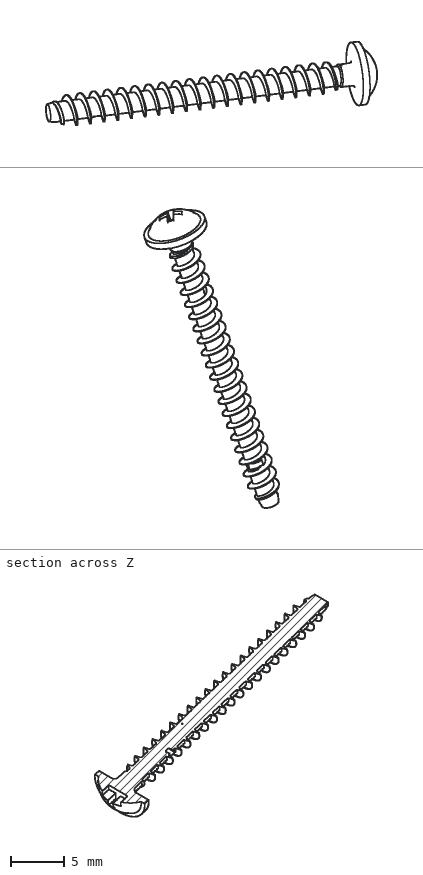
import cadquery as cq
import math


flange_radius = 3.0
flange_height = 0.65
dome_base_radius = 2.58
head_height = 2.09

recess_wing_length = 2.2
recess_wing_width = 0.6
recess_depth = 1.2

screw_length = 30.0
shank_radius = 1.08
shank_end = 1.45
neck_fillet = 0.45
core_radius = 0.94
core_start = 1.6
tip_radius = 0.84

pitch = 1.34
thread_radius = 1.5
crest_width = 0.07
flank_angle = 15.0
thread_start = 0.835
thread_turns = 21.5
thread_lengths = 4
root_radius = 0.75
run_in_start = 1.3
run_in_end = 2.8
run_out_start = 28.0
run_out_end = 29.5
trim_radius = thread_radius + 0.3

upper_notch_start = 5.8
upper_notch_end = 6.8
upper_notch_floor = 0.49
upper_notch_angle = 160.0
lower_notch_start = 25.05
lower_notch_end = 25.73
lower_notch_floor = 0.65
lower_notch_angle = 270.0


def make_head():
    """Flange with a spherical dome on it."""
    dome_height = head_height - flange_height
    sphere_radius = (dome_base_radius**2 + dome_height**2) / (2 * dome_height)
    sphere_center = -head_height + sphere_radius
    half_angle = math.asin(dome_base_radius / sphere_radius) / 2
    arc_middle = (
        sphere_radius * math.sin(half_angle),
        sphere_center - sphere_radius * math.cos(half_angle),
    )
    return (
        cq.Workplane("XZ")
        .lineTo(flange_radius, 0)
        .lineTo(flange_radius, -flange_height)
        .lineTo(dome_base_radius, -flange_height)
        .threePointArc(arc_middle, (0, -head_height))
        .close()
        .revolve(360, (0, 0), (0, 1))
    )


def make_recess():
    """Cross-shaped drive recess sunk from the top of the head."""
    wing = cq.Workplane("XY").workplane(offset=-head_height)
    along_x = wing.rect(recess_wing_length, recess_wing_width).extrude(recess_depth)
    along_y = wing.rect(recess_wing_width, recess_wing_length).extrude(recess_depth)
    return along_x.union(along_y)


def make_core():
    """Shank filleted into the head, and the straight thread core."""
    fillet_drop = neck_fillet * (1 - math.sqrt(0.5))
    return (
        cq.Workplane("XZ")
        .lineTo(shank_radius + neck_fillet, 0)
        .threePointArc((shank_radius + fillet_drop, fillet_drop), (shank_radius, neck_fillet))
        .lineTo(shank_radius, shank_end)
        .lineTo(core_radius, core_start)
        .lineTo(core_radius, screw_length)
        .lineTo(0, screw_length)
        .close()
        .revolve(360, (0, 0), (0, 1))
    )


def make_ridge(start_turn, turns):
    """One length of the right-hand helical ridge, beginning start_turn turns into the thread."""
    half_crest = crest_width / 2
    half_root = half_crest + (thread_radius - root_radius) * math.tan(math.radians(flank_angle))
    helix = cq.Wire.makeHelix(pitch, pitch * turns, root_radius)
    ridge = (
        cq.Workplane("XZ")
        .moveTo(root_radius, -half_root)
        .lineTo(thread_radius, -half_crest)
        .lineTo(thread_radius, half_crest)
        .lineTo(root_radius, half_root)
        .close()
        .sweep(cq.Workplane(helix), isFrenet=True)
    )
    turned = ridge.rotate((0, 0, 0), (0, 0, 1), 360 * start_turn)
    return turned.translate((0, 0, thread_start + pitch * start_turn))


def make_run_in_trim():
    """Ring around the shank that leaves the first turns growing out of a cone."""
    return (
        cq.Workplane("XZ")
        .moveTo(shank_radius, neck_fillet)
        .lineTo(shank_radius, run_in_start)
        .lineTo(thread_radius, run_in_end)
        .lineTo(trim_radius, run_in_end)
        .lineTo(trim_radius, neck_fillet)
        .close()
        .revolve(360, (0, 0), (0, 1))
    )


def make_run_out_trim():
    """Ring that cones the last turns down to the core and tapers the tip."""
    return (
        cq.Workplane("XZ")
        .moveTo(thread_radius, run_out_start)
        .lineTo(core_radius, run_out_end)
        .lineTo(tip_radius, screw_length)
        .lineTo(trim_radius, screw_length)
        .lineTo(trim_radius, run_out_start)
        .close()
        .revolve(360, (0, 0), (0, 1))
    )


def make_notch(outline, angle, floor_distance):
    """Flat-floored notch in the core, facing the given angle about the axis.

    The outline runs in (depth, sideways) coordinates on the notch floor.
    """
    outward = cq.Vector(math.cos(math.radians(angle)), math.sin(math.radians(angle)), 0)
    floor = cq.Plane(origin=outward * floor_distance, xDir=(0, 0, 1), normal=outward)
    return cq.Workplane(floor).polyline(outline).close().extrude(core_radius - floor_distance)


def chord_half_width(floor_distance):
    """Half the width of a flat across the core at the given distance from its axis."""
    return math.sqrt(core_radius**2 - floor_distance**2)


def make_upper_notch():
    """Triangular notch between two turns near the head."""
    half_width = chord_half_width(upper_notch_floor)
    outline = [
        (upper_notch_start, half_width),
        (upper_notch_start, -half_width),
        (upper_notch_end, -half_width),
    ]
    return make_notch(outline, upper_notch_angle, upper_notch_floor)


def make_lower_notch():
    """Straight notch across the core between two turns near the tip."""
    half_width = chord_half_width(lower_notch_floor)
    outline = [
        (lower_notch_start, half_width),
        (lower_notch_start, -half_width),
        (lower_notch_end, -half_width),
        (lower_notch_end, half_width),
    ]
    return make_notch(outline, lower_notch_angle, lower_notch_floor)


threaded_shank = make_core().cut(make_upper_notch()).cut(make_lower_notch())
turns_per_length = thread_turns / thread_lengths
for index in range(thread_lengths):
    threaded_shank = threaded_shank.union(make_ridge(index * turns_per_length, turns_per_length))
threaded_shank = threaded_shank.cut(make_run_in_trim()).cut(make_run_out_trim())

head = make_head().cut(make_recess())
screw = head.union(threaded_shank)
result = screw.rotate((0, 0, 0), (1, 0, 0), 90)